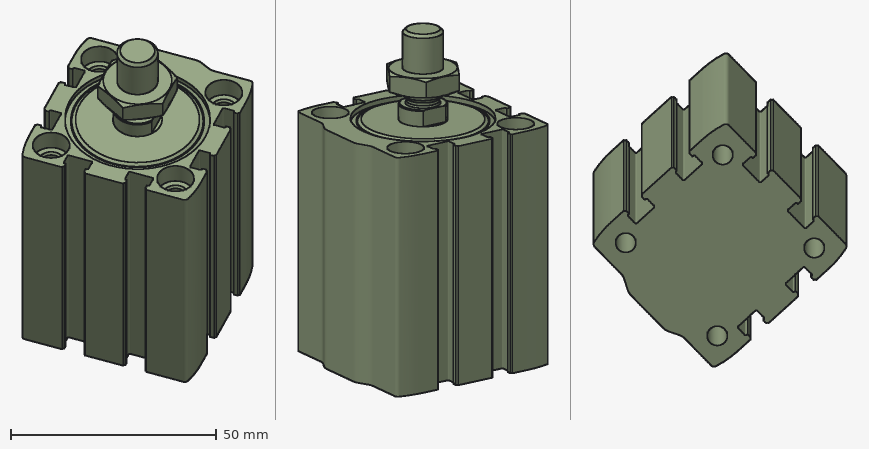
import cadquery as cq
import math


housing_width = 45.0
half_width = housing_width / 2
housing_height = 61.5
side_flat_half = 15.3
corner_sweep_radius = 25.0
corner_fillet = 1.0

pad_rise = 2.0
pad_foot_half = 10.5
pad_slope = math.radians(27)
pad_foot_fillet = 3.0
pad_top_fillet = 4.0

slot_offset = 8.0
slot_opening = 5.2
slot_inner_width = 6.4
slot_lip = 1.5
slot_depth = 4.5
slot_fillet = 0.3
slot_lip_fillet = 0.4

hole_pitch = 32.5
counterbore_diameter = 9.0
counterbore_depth = 5.1
hole_diameter = 4.92
hole_mouth_diameter = 6.0

recess_radius = 35.4 / 2
recess_depth = 1.3
collar_radius = 16.3
collar_depth = 0.75
cover_radius = 32.0 / 2
cover_bevel_radius = 15.1
cover_bevel_depth = 0.25
cover_face_radius = 14.75
cover_face_depth = 0.2

rod_radius = 12.0 / 2
rod_flats = 10.0
rod_insertion = 20.0
shoulder_height = 4.0
shoulder_chamfer = 0.25
neck_foot_radius = 8.65 / 2
neck_radius = 8.1 / 2
neck_start = 4.5
thread_radius = 10.0 / 2
thread_start = 6.2
rod_projection = 23.0
tip_chamfer = 0.8

nut_sides = 6
nut_across_flats = 17.0
nut_thickness = 5.0
nut_start = 8.0
nut_face_radius = 8.35
nut_chamfer_angle = math.radians(20)

rod_bottom = housing_height - rod_insertion
cover_face = housing_height - cover_face_depth


def housing_blank():
    """Extruded outline: two swept sides joined by straight ends."""
    sweep_angle = math.asin((half_width - side_flat_half) / corner_sweep_radius)

    def sweep_inset(angle):
        return corner_sweep_radius * (1 - math.cos(angle))

    end_x = half_width - sweep_inset(sweep_angle)
    mid_x = half_width - sweep_inset(sweep_angle / 2)
    mid_y = side_flat_half + corner_sweep_radius * math.sin(sweep_angle / 2)
    outline = (
        cq.Workplane("XY")
        .moveTo(-end_x, -half_width)
        .lineTo(end_x, -half_width)
        .threePointArc((mid_x, -mid_y), (half_width, -side_flat_half))
        .lineTo(half_width, side_flat_half)
        .threePointArc((mid_x, mid_y), (end_x, half_width))
        .lineTo(-end_x, half_width)
        .threePointArc((-mid_x, mid_y), (-half_width, side_flat_half))
        .lineTo(-half_width, -side_flat_half)
        .threePointArc((-mid_x, -mid_y), (-end_x, -half_width))
        .close()
    )
    blank = outline.extrude(housing_height)
    for x in (-end_x, end_x):
        for y in (-half_width, half_width):
            corner = cq.selectors.NearestToPointSelector((x, y, housing_height / 2))
            blank = blank.edges("|Z").edges(corner).fillet(corner_fillet)
    return blank


def port_pad():
    """Raised pad on the +Y side with sloped, rounded flanks."""
    pad_top_half = pad_foot_half - pad_rise / math.tan(pad_slope)
    base_y = half_width - pad_rise
    wing_half = pad_foot_half + pad_rise
    pad = (
        cq.Workplane("XY")
        .polyline([
            (-wing_half, base_y),
            (wing_half, base_y),
            (wing_half, half_width),
            (pad_foot_half, half_width),
            (pad_top_half, half_width + pad_rise),
            (-pad_top_half, half_width + pad_rise),
            (-pad_foot_half, half_width),
            (-wing_half, half_width),
        ])
        .close()
        .extrude(housing_height)
    )
    for x, y, radius in (
        (pad_top_half, half_width + pad_rise, pad_top_fillet),
        (pad_foot_half, half_width, pad_foot_fillet),
    ):
        for side in (-1, 1):
            corner = cq.selectors.NearestToPointSelector((side * x, y, housing_height / 2))
            pad = pad.edges("|Z").edges(corner).fillet(radius)
    return pad


def t_slot(offset):
    """T-slot cutter opening through the -Y side at the given X offset."""
    inner_length = slot_depth - slot_lip
    inner = (
        cq.Workplane("XY")
        .center(offset, -half_width + slot_lip + inner_length / 2)
        .rect(slot_inner_width, inner_length)
        .extrude(housing_height)
        .edges("|Z")
        .fillet(slot_fillet)
    )
    opening_half = slot_opening / 2
    opening = (
        cq.Workplane("XY")
        .center(offset, -half_width)
        .moveTo(-opening_half, slot_lip + inner_length / 2)
        .lineTo(-opening_half, slot_lip_fillet)
        .radiusArc((-opening_half - slot_lip_fillet, 0), -slot_lip_fillet)
        .lineTo(opening_half + slot_lip_fillet, 0)
        .radiusArc((opening_half, slot_lip_fillet), -slot_lip_fillet)
        .lineTo(opening_half, slot_lip + inner_length / 2)
        .close()
        .extrude(housing_height)
    )
    return inner.union(opening)


def mounting_holes():
    """Four counterbored through holes with a chamfered mouth below each counterbore."""
    floor = housing_height - counterbore_depth
    hole_radius = hole_diameter / 2
    mouth_radius = hole_mouth_diameter / 2
    cutter = (
        cq.Workplane("XZ")
        .polyline([
            (0, 0),
            (hole_radius, 0),
            (hole_radius, floor - (mouth_radius - hole_radius)),
            (mouth_radius, floor),
            (counterbore_diameter / 2, floor),
            (counterbore_diameter / 2, housing_height),
            (0, housing_height),
        ])
        .close()
        .revolve(360, (0, 0), (0, 1))
        .val()
    )
    return (
        cq.Workplane("XY")
        .rect(hole_pitch, hole_pitch, forConstruction=True)
        .vertices()
        .eachpoint(lambda place: cutter.moved(place))
    )


def cover_recess():
    """Space above the stepped front cover, down from the housing top."""
    top = housing_height
    return (
        cq.Workplane("XZ")
        .polyline([
            (0, top),
            (recess_radius, top),
            (recess_radius, top - recess_depth),
            (collar_radius, top - collar_depth),
            (cover_radius, top - collar_depth),
            (cover_bevel_radius, top - cover_bevel_depth),
            (cover_face_radius, cover_face),
            (0, cover_face),
        ])
        .close()
        .revolve(360, (0, 0), (0, 1))
    )


def make_housing():
    body = housing_blank().union(port_pad())
    for side_angle in (-90, 0, 90):
        for offset in (-slot_offset, slot_offset):
            body = body.cut(t_slot(offset).rotate((0, 0, 0), (0, 0, 1), side_angle))
    body = body.cut(mounting_holes()).cut(cover_recess())
    rod_bore = (
        cq.Workplane("XY")
        .workplane(offset=rod_bottom)
        .circle(rod_radius)
        .extrude(rod_insertion)
    )
    return body.cut(rod_bore)


def make_rod():
    top = housing_height
    neck_end = thread_start - (thread_radius - neck_radius)
    rod = (
        cq.Workplane("XZ")
        .polyline([
            (0, rod_bottom),
            (rod_radius, rod_bottom),
            (rod_radius, top + shoulder_height - shoulder_chamfer),
            (rod_radius - shoulder_chamfer, top + shoulder_height),
            (neck_foot_radius, top + shoulder_height),
            (neck_radius, top + neck_start),
            (neck_radius, top + neck_end),
            (thread_radius, top + thread_start),
            (thread_radius, top + rod_projection - tip_chamfer),
            (thread_radius - tip_chamfer, top + rod_projection),
            (0, top + rod_projection),
        ])
        .close()
        .revolve(360, (0, 0), (0, 1))
    )
    flat_height = top + shoulder_height - cover_face
    flat_depth = rod_radius - rod_flats / 2
    for side in (-1, 1):
        flat = (
            cq.Workplane("XY")
            .workplane(offset=cover_face)
            .center(side * (rod_flats + flat_depth) / 2, 0)
            .rect(flat_depth, 2 * rod_radius)
            .extrude(flat_height)
        )
        rod = rod.cut(flat)
    return rod


def make_nut():
    """Hexagon nut with flats facing +X and -X and both faces chamfered."""
    bottom = housing_height + nut_start
    top = bottom + nut_thickness
    across_corners = nut_across_flats / math.cos(math.radians(180 / nut_sides))
    rim_radius = across_corners / 2
    rim_drop = (rim_radius - nut_face_radius) * math.tan(nut_chamfer_angle)
    hexagon = (
        cq.Workplane("XY")
        .workplane(offset=bottom)
        .polygon(nut_sides, across_corners)
        .extrude(nut_thickness)
        .rotate((0, 0, 0), (0, 0, 1), 180 / nut_sides)
    )
    chamfered_disc = (
        cq.Workplane("XZ")
        .polyline([
            (thread_radius, bottom),
            (nut_face_radius, bottom),
            (rim_radius, bottom + rim_drop),
            (rim_radius, top - rim_drop),
            (nut_face_radius, top),
            (thread_radius, top),
        ])
        .close()
        .revolve(360, (0, 0), (0, 1))
    )
    return hexagon.intersect(chamfered_disc)


housing = make_housing()
rod = make_rod()
nut = make_nut()

result = cq.Compound.makeCompound([housing.val(), rod.val(), nut.val()])